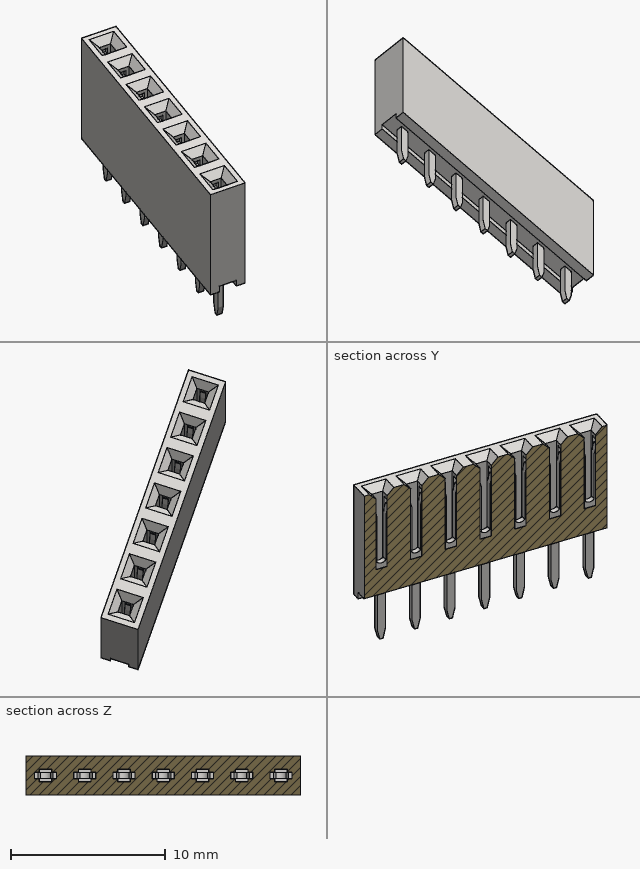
import cadquery as cq
import math


contact_count = 7
length = 17.78
pitch = length / contact_count
depth = pitch
height = 8.5
groove_width = 1.25
groove_height = 0.48

mouth_size = 1.8
bore_size = 0.8
funnel_depth = (mouth_size - bore_size) / 2
socket_depth = 6.0

contact_thickness = 0.4
slot_drop = 0.3
prong_clearance = 0.5
fork_width = 1.4
entry_gap = 1.0
throat_gap = 0.64
lead_in_height = 0.64
valley_radius = 0.43
fork_base_height = 0.4

pin_width = 0.6
pin_length = 3.0
tip_width = 0.23
tip_length = 0.75

funnel_end = height - funnel_depth
slot_ceiling = funnel_end - slot_drop
prong_top = slot_ceiling - prong_clearance
socket_floor = height - socket_depth
valley_bottom = socket_floor + fork_base_height
contact_xs = [(i - (contact_count - 1) / 2) * pitch for i in range(contact_count)]


def make_housing():
    """Plain block with a groove along its underside."""
    block = cq.Workplane("XY").box(length, depth, height, centered=(True, True, False))
    groove = cq.Workplane("XY").box(length, groove_width, groove_height, centered=(True, True, False))
    return block.cut(groove)


def make_socket(x):
    """Square bore opening into a square funnel, with a flat slot for the contact."""
    bore = (
        cq.Workplane("XY", origin=(x, 0, socket_floor))
        .rect(bore_size, bore_size)
        .extrude(funnel_end - socket_floor)
    )
    funnel = (
        cq.Workplane("XY", origin=(x, 0, funnel_end))
        .rect(bore_size, bore_size)
        .workplane(offset=funnel_depth)
        .rect(mouth_size, mouth_size)
        .loft(ruled=True)
    )
    slot = (
        cq.Workplane("XY", origin=(x, 0, socket_floor))
        .rect(fork_width, contact_thickness)
        .extrude(slot_ceiling - socket_floor)
    )
    return bore.union(funnel).union(slot)


def make_fork(x):
    """Flat contact filling the slot: two prongs with a round valley between them."""
    half_fork = fork_width / 2
    half_entry = entry_gap / 2
    half_throat = throat_gap / 2
    throat_top = prong_top - lead_in_height
    valley_rise = valley_radius - math.sqrt(valley_radius**2 - half_throat**2)
    valley_edge = valley_bottom + valley_rise
    return (
        cq.Workplane("XZ", origin=(x, 0, 0))
        .moveTo(-half_fork, socket_floor)
        .lineTo(half_fork, socket_floor)
        .lineTo(half_fork, prong_top)
        .lineTo(half_entry, prong_top)
        .lineTo(half_throat, throat_top)
        .lineTo(half_throat, valley_edge)
        .threePointArc((0, valley_bottom), (-half_throat, valley_edge))
        .lineTo(-half_throat, throat_top)
        .lineTo(-half_entry, prong_top)
        .lineTo(-half_fork, prong_top)
        .close()
        .extrude(contact_thickness / 2, both=True)
    )


def make_pin(x):
    """Flat solder pin hanging from the groove, tapered in X at its tip."""
    half_pin = pin_width / 2
    half_tip = tip_width / 2
    taper_start = tip_length - pin_length
    return (
        cq.Workplane("XZ", origin=(x, 0, 0))
        .polyline([
            (-half_pin, groove_height),
            (half_pin, groove_height),
            (half_pin, taper_start),
            (half_tip, -pin_length),
            (-half_tip, -pin_length),
            (-half_pin, taper_start),
        ])
        .close()
        .extrude(contact_thickness / 2, both=True)
    )


result = make_housing()
for contact_x in contact_xs:
    result = result.cut(make_socket(contact_x))
    result = result.union(make_fork(contact_x))
    result = result.union(make_pin(contact_x))